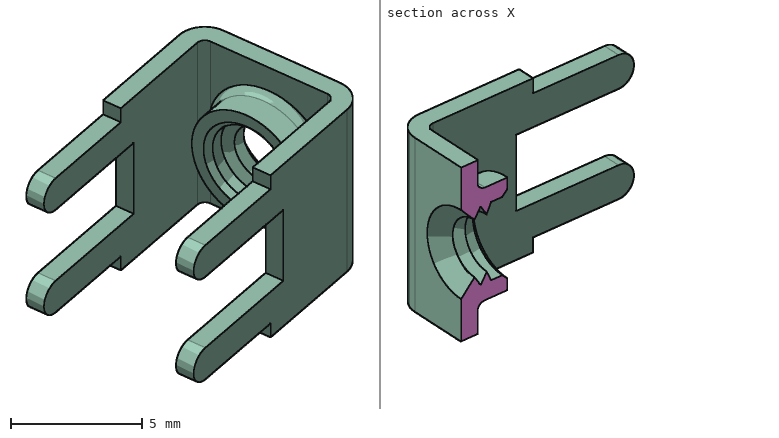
import cadquery as cq
import math

width = 7.874
length = 11.176
height = 7.874

sheet = 0.838
fold_inner_radius = 0.356
fold_outer_radius = sheet + fold_inner_radius

wall_length = 6.17
slot_depth = 5.334
pin_width = 1.54
pin_pitch = 4.98
pin_radius = pin_width / 2

boss_radius = 2.56
boss_end = 2.3
flare_radius = 2.81
flare_end = fold_outer_radius
flare_height = flare_end - sheet
flare_width = flare_radius - boss_radius

mouth_radius = 2.01
bore_radius = 1.76
throat_radius = 1.29
mouth_chamfer = mouth_radius - bore_radius
countersink_depth = 0.67
bore_depth = 0.55
bore_end = boss_end - mouth_chamfer - bore_depth
cone_slope = math.radians(25)
throat_end = bore_end - (bore_radius - throat_radius) * math.tan(cone_slope)
groove_middle = (countersink_depth + throat_end) / 2


def folded_sheet():
    """U-shaped channel: the web along X with a wall folded down each side."""
    outer = cq.Workplane("XY").box(width, length, height, centered=(True, False, True))
    outer = outer.edges("|Z and >Y").fillet(fold_outer_radius)
    inner_width = width - 2 * sheet
    inner = cq.Workplane("XY").box(inner_width, length, height, centered=(True, False, True))
    inner = inner.edges("|Z and >Y").fillet(fold_inner_radius)
    return outer.cut(inner.translate((0, -sheet, 0))).translate((0, -length, 0))


def wall_outline():
    """Side outline of both walls: a plain block with two round-ended pins."""
    block = (
        cq.Workplane("YZ")
        .rect(2 * wall_length, height)
        .extrude(width / 2, both=True)
    )
    slot_height = pin_pitch - pin_width
    slot = (
        cq.Workplane("YZ")
        .center(-(slot_depth + length) / 2, 0)
        .rect(length - slot_depth, slot_height)
        .extrude(width / 2, both=True)
    )
    outline = block.cut(slot)
    pin_center = pin_radius - length
    for side in (-1, 1):
        pin = (
            cq.Workplane("YZ")
            .center(0, side * pin_pitch / 2)
            .moveTo(-slot_depth, -pin_radius)
            .lineTo(pin_center, -pin_radius)
            .threePointArc((-length, 0), (pin_center, pin_radius))
            .lineTo(-slot_depth, pin_radius)
            .close()
            .extrude(width / 2, both=True)
        )
        outline = outline.union(pin)
    return outline


def revolved_about_y(profile):
    return profile.close().revolve(360, (0, 0, 0), (0, 1, 0))


def boss():
    """Round boss whose root flares out along an arc tangent to the boss wall."""
    arc_radius = (flare_width**2 + flare_height**2) / (2 * flare_width)
    half_angle = math.asin(flare_height / arc_radius) / 2
    arc_middle = (
        boss_radius + arc_radius * (1 - math.cos(half_angle)),
        -flare_end + arc_radius * math.sin(half_angle),
    )
    return revolved_about_y(
        cq.Workplane("XY")
        .moveTo(0, -sheet / 2)
        .lineTo(0, -boss_end)
        .lineTo(boss_radius, -boss_end)
        .lineTo(boss_radius, -flare_end)
        .threePointArc(arc_middle, (flare_radius, -sheet))
        .lineTo(flare_radius, -sheet / 2)
    )


def stepped_hole():
    """Chamfered bore from the boss end, then a V-groove between two throats and a web countersink."""
    return revolved_about_y(
        cq.Workplane("XY")
        .moveTo(0, 0)
        .lineTo(mouth_radius, 0)
        .lineTo(throat_radius, -countersink_depth)
        .lineTo(bore_radius, -groove_middle)
        .lineTo(throat_radius, -throat_end)
        .lineTo(bore_radius, -bore_end)
        .lineTo(bore_radius, mouth_chamfer - boss_end)
        .lineTo(mouth_radius, -boss_end)
        .lineTo(0, -boss_end)
    )


bracket = folded_sheet().intersect(wall_outline())
result = bracket.union(boss()).cut(stepped_hole())